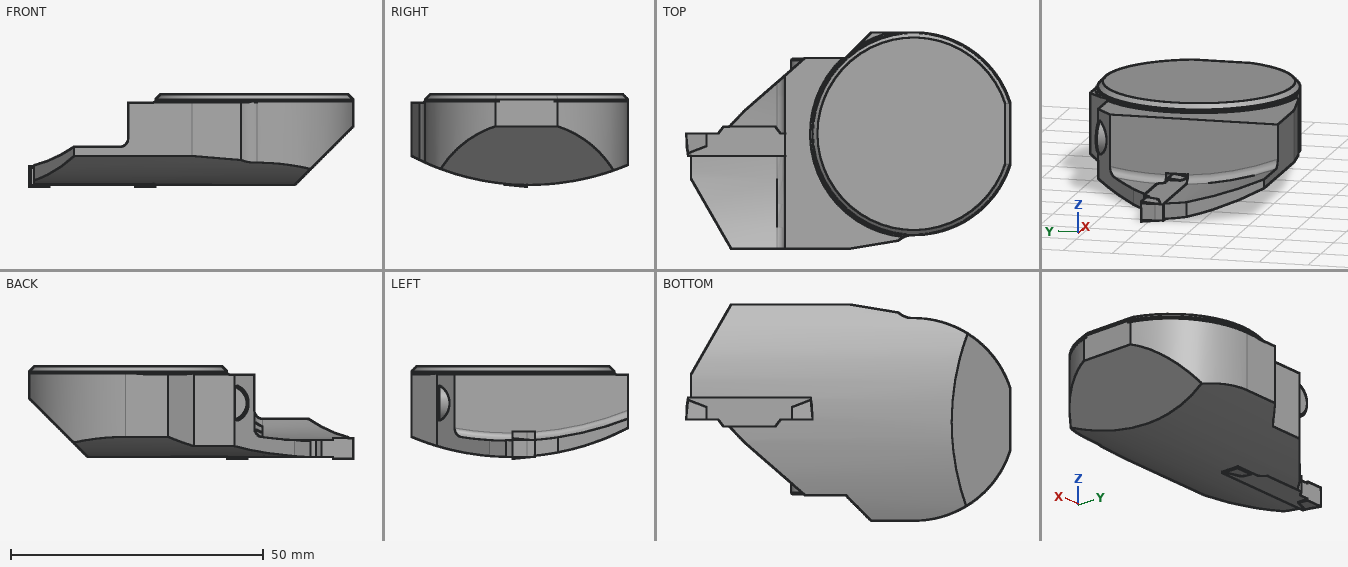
import cadquery as cq
import math


cap_radius = 20.05
cap_top = 17.95
cap_chamfer = 1.0
cap_flat_x = 19.1
groove_depth = 0.2
groove_bottom = 16.55
groove_height = 0.25
flare_radius = 20.5

block_top = 16.3
wall_x = -25.45
side_y = -22.75
back_y = cap_radius
rear_edge_x = -8.4
rear_step = 5.05
rear_step_y = back_y - rear_step
slant_start_x = -21.5
slant_end = (-33.4, 4.6)
rear_end_x = -36.5
arm_end_x = -44.05
arm_end_y = -8.9
arm_corner_x = -36.1
side_end_x = -12.75
side_taper_end = (-3.1, -21.15)
blend_point = (-1.85, -20.4)
belly_radius = 50.0
belly_center_y = 0.5
arm_thickness = 3.2
arm_top_radius = 64.1
wall_fillet = 1.55
undercut_x = 7.5
overcut = 32.05

screw_radius = 3.8
screw_x = -20.5
screw_z = 10.65
screw_end_y = 14.9
screw_depth = 5.1
screw_chamfer = 0.4

tip_x = -45.0
insert_length = 25.0
insert_mid_x = tip_x + insert_length / 2
insert_front_y = -4.35
insert_back_y = 0.05
shoulder_y = 1.4
shoulder_half = 5.1
shoulder_root_half = 6.15
tip_taper = 0.4
insert_top = 3.35
pocket_top = 5.05
tip_rise = 0.4
tip_length = 4.05
tip_kink_y = -2.75
tip_kink_inset = 0.1
facet_front_y = -3.85
facet_mid_y = -2.45


def along_x(sketch, x_start, x_end):
    """Extrude a closed YZ sketch between two X positions."""
    return sketch.extrude(x_end - x_start).translate((x_start, 0, 0))


def make_block():
    """Plan outline of the block and arm, as tall as the block."""
    return (
        cq.Workplane("XY")
        .moveTo(arm_end_x, insert_front_y)
        .lineTo(arm_end_x, arm_end_y)
        .lineTo(arm_corner_x, side_y)
        .lineTo(side_end_x, side_y)
        .lineTo(*side_taper_end)
        .threePointArc(blend_point, (0, -cap_radius))
        .threePointArc((cap_radius, 0), (0, back_y))
        .lineTo(rear_edge_x, back_y)
        .lineTo(rear_edge_x - rear_step, rear_step_y)
        .lineTo(slant_start_x, rear_step_y)
        .lineTo(*slant_end)
        .lineTo(rear_end_x, shoulder_y)
        .lineTo(rear_end_x, insert_front_y)
        .close()
        .extrude(block_top)
    )


def make_cap():
    """Round cap on a flared neck, with a thin groove and a chamfered rim."""
    groove_radius = cap_radius - groove_depth
    groove_top = groove_bottom + groove_height
    cap = (
        cq.Workplane("XZ")
        .moveTo(0, block_top)
        .lineTo(flare_radius, block_top)
        .lineTo(cap_radius, groove_bottom)
        .lineTo(groove_radius, groove_bottom)
        .lineTo(groove_radius, groove_top)
        .lineTo(cap_radius, groove_top)
        .lineTo(cap_radius, cap_top - cap_chamfer)
        .lineTo(cap_radius - cap_chamfer, cap_top)
        .lineTo(0, cap_top)
        .close()
        .revolve(360, (0, 0, 0), (0, 1, 0))
    )
    collar = make_block().translate((0, 0, block_top))
    disc = cq.Workplane("XY").workplane(offset=block_top).circle(cap_radius).extrude(cap_top - block_top)
    return cap.intersect(collar.union(disc))


def make_flat_cutter():
    """Flat on the +X side, with the rim chamfer carried across it."""
    return (
        cq.Workplane("XZ")
        .moveTo(cap_flat_x, -overcut)
        .lineTo(cap_flat_x, cap_top - cap_chamfer)
        .lineTo(cap_flat_x - cap_chamfer, cap_top)
        .lineTo(cap_flat_x + overcut, cap_top)
        .lineTo(cap_flat_x + overcut, -overcut)
        .close()
        .extrude(overcut, both=True)
    )


def make_undercut():
    """45 degree cut under the +X side."""
    return (
        cq.Workplane("XZ")
        .moveTo(undercut_x, 0)
        .lineTo(undercut_x + overcut, overcut)
        .lineTo(undercut_x + overcut, 0)
        .close()
        .extrude(overcut, both=True)
    )


def make_belly():
    """Cylinder along X whose lower side rounds the bottom of the holder."""
    sketch = cq.Workplane("YZ").center(belly_center_y, belly_radius).circle(belly_radius)
    return along_x(sketch, -2 * overcut, overcut)


def make_arm_clearance():
    """Space above the arm: a curved floor meeting the wall in a fillet."""
    edge_rise = arm_top_radius - math.sqrt(arm_top_radius**2 - overcut**2)
    edge_z = arm_thickness + edge_rise
    sketch = (
        cq.Workplane("YZ")
        .moveTo(belly_center_y - overcut, edge_z)
        .threePointArc((belly_center_y, arm_thickness), (belly_center_y + overcut, edge_z))
        .lineTo(belly_center_y + overcut, overcut)
        .lineTo(belly_center_y - overcut, overcut)
        .close()
    )
    return along_x(sketch, -2 * overcut, wall_x).faces(">X").edges("%CIRCLE").fillet(wall_fillet)


def make_screw_head():
    """Screw head along Y, one piece with the holder."""
    return (
        cq.Workplane("XZ", origin=(screw_x, screw_end_y, screw_z))
        .circle(screw_radius)
        .extrude(screw_depth)
        .faces(">Y")
        .chamfer(screw_chamfer)
    )


def insert_outline():
    """Plan outline of the insert, the same at both ends."""
    half = insert_length / 2
    return (
        cq.Workplane("XY", origin=(insert_mid_x, 0, 0))
        .moveTo(-half + tip_taper, insert_front_y)
        .lineTo(half - tip_taper, insert_front_y)
        .lineTo(half - tip_kink_inset, tip_kink_y)
        .lineTo(half, insert_back_y)
        .lineTo(shoulder_root_half, insert_back_y)
        .lineTo(shoulder_half, shoulder_y)
        .lineTo(-shoulder_half, shoulder_y)
        .lineTo(-shoulder_root_half, insert_back_y)
        .lineTo(-half, insert_back_y)
        .lineTo(-half + tip_kink_inset, tip_kink_y)
        .close()
    )


def make_tip_plan():
    """Plan area of the sloped facet on the -X tip."""
    return (
        cq.Workplane("XY", origin=(0, 0, -overcut))
        .moveTo(tip_x, insert_back_y)
        .lineTo(tip_x + tip_length, insert_back_y)
        .lineTo(tip_x + tip_length, facet_mid_y)
        .lineTo(tip_x + tip_taper, facet_front_y)
        .close()
        .extrude(2 * overcut)
    )


def make_tip_facets():
    """Wedge that raises the back edge of the -X tip on its top and underside."""
    wedge = (
        cq.Workplane("YZ")
        .moveTo(facet_front_y, 0)
        .lineTo(insert_back_y, -tip_rise)
        .lineTo(insert_back_y, insert_top + tip_rise)
        .lineTo(facet_front_y, insert_top)
        .close()
    )
    return along_x(wedge, tip_x, tip_x + tip_length).intersect(make_tip_plan())


def make_insert():
    """Flat double-ended insert with sloped facets on both tips."""
    facets = make_tip_facets()
    far_facets = facets.mirror("YZ", (insert_mid_x, 0, 0))
    return insert_outline().extrude(insert_top).union(facets).union(far_facets)


def make_holder(insert):
    """Holder with the cap, the screw head and the pocket for the insert."""
    holder = make_block().union(make_cap())
    holder = holder.cut(make_flat_cutter()).cut(make_undercut())
    holder = holder.intersect(make_belly()).cut(make_arm_clearance())
    pocket = insert_outline().extrude(pocket_top)
    return holder.cut(pocket).cut(insert).union(make_screw_head())


insert = make_insert()
holder = make_holder(insert)

result = cq.Compound.makeCompound([holder.val(), insert.val()])